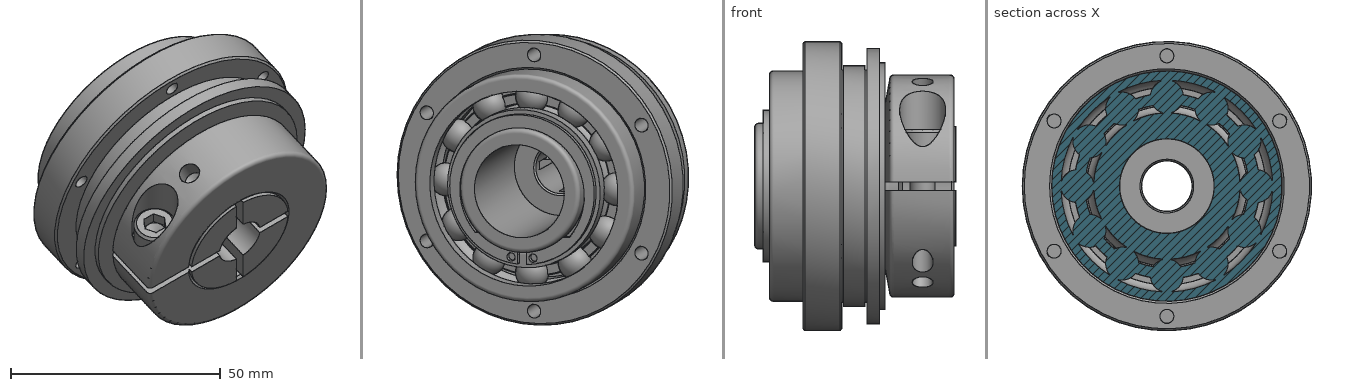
import cadquery as cq
import math


RING_START = 2.1
BEARING_START = 3.5
FLANGE_START = 11.5
FLANGE_END = 20.85
COLLAR_START = 21.2
COLLAR_END = 26.3
PLATE_START = 26.8
PLATE_END = 29.8
RIM_END = 31.1
CLAMP_START = 32.2
CLAMP_END = 47.6
HUB_END = 48.0
SLIT_START = 34.3

SLEEVE_D = 30.0
SLEEVE_BORE_D = 22.5
FLANGE_D = 69.0
NECK_D = 55.5
COLLAR_D = 57.5
PLATE_D = 65.7
RIM_D = 58.9
CLAMP_D = 53.05
HUB_D = 28.6
SHAFT_BORE_D = 12.0

ROUND = 1.05
FLANGE_CHAMFER = 0.5
SHAFT_BORE_CHAMFER = 0.4

CONE_SMALL_D = 39.05
CONE_LARGE_D = CLAMP_D - 2 * ROUND

BEARING_D = 55.0
OUTER_RACE_BORE_D = 47.1
INNER_RACE_D = 38.2
BEARING_WIDTH = 13.0
BALL_COUNT = 12
BALL_D = 8.0
GROOVE_RADIUS = 3.85
PITCH_R = (OUTER_RACE_BORE_D + INNER_RACE_D) / 4
BALL_X = BEARING_START + BEARING_WIDTH / 2
CAGE_INNER_R = 19.45
CAGE_OUTER_R = 22.15
CAGE_THICKNESS = 0.55
CAGE_CHAMFER = 0.24

SNAP_RING_D = 36.2
SNAP_OPENING_R = 15.6
SNAP_OPENING_DROP = 0.7
SNAP_OPENING_FLOOR = -11.0
SNAP_GAP = 2.3
PLIER_HOLE_D = 2.0
PLIER_HOLE_Y = 2.75
PLIER_HOLE_Z = -16.4

FLANGE_HOLE_D = 3.3
FLANGE_HOLE_COUNT = 6
FLANGE_HOLE_CIRCLE_R = 31.05

SLOT_WIDTH = 2.0
BORE_LEAD_IN = 1.0
BORE_LEAD_OUT = 0.6
SCREW_X = 40.1
SCREW_Y = -19.3
SCREW_SEAT_Z = 7.45
HEAD_D = 10.0
HEAD_HEIGHT = 6.0
HEAD_CHAMFER = 0.6
COUNTERBORE_D = 11.0
SHANK_D = 6.0
THREAD_HOLE_D = 5.0
SHANK_BOTTOM_Z = -6.9
HEX_ACROSS_FLATS = 5.0
HEX_DEPTH = 3.0

PLAIN_HOLE_D = 5.0
PLAIN_HOLE_DEPTH = 5.0
DRILL_TIP_ANGLE = 118.0
PLAIN_HOLE_ANGLES = (30.0, 160.0, 270.0)


def disc(diameter, start, end):
    """Cylinder on the X axis."""
    return cq.Workplane("YZ", origin=(start, 0, 0)).circle(diameter / 2).extrude(end - start)


def cone(start_d, end_d, start, end):
    """Truncated cone on the X axis."""
    profile = [(start, 0), (start, start_d / 2), (end, end_d / 2), (end, 0)]
    return cq.Workplane("XY").polyline(profile).close().revolve(360, (0, 0), (1, 0))


def post(diameter, bottom, top):
    """Vertical cylinder on the axis of the clamp screw."""
    base = cq.Workplane("XY", origin=(SCREW_X, SCREW_Y, bottom))
    return base.circle(diameter / 2).extrude(top - bottom)


def turned_body():
    """All stepped outer diameters up to the clamp, with the bearing and bores still solid."""
    body = disc(SLEEVE_D, 0, FLANGE_START).faces("<X").edges().fillet(ROUND)
    bearing = disc(BEARING_D, BEARING_START, FLANGE_END).faces("<X").edges().fillet(ROUND)
    flange = disc(FLANGE_D, FLANGE_START, FLANGE_END).edges().chamfer(FLANGE_CHAMFER)
    relief = cone(BEARING_D + 2 * FLANGE_CHAMFER, BEARING_D, FLANGE_START, FLANGE_START + FLANGE_CHAMFER)
    body = body.union(flange.cut(relief)).union(bearing)
    body = body.union(disc(NECK_D, FLANGE_END, PLATE_START))
    body = body.union(disc(COLLAR_D, COLLAR_START, COLLAR_END))
    body = body.union(disc(PLATE_D, PLATE_START, PLATE_END))
    body = body.union(disc(RIM_D, PLATE_END, RIM_END))
    return body


def bearing_cavity():
    """Open space between the two races, with the ball grooves."""
    end = BEARING_START + BEARING_WIDTH
    gap = disc(OUTER_RACE_BORE_D, BEARING_START, end).cut(disc(INNER_RACE_D, BEARING_START, end))
    groove = (
        cq.Workplane("XY")
        .center(BALL_X, PITCH_R)
        .circle(GROOVE_RADIUS)
        .revolve(360, (-BALL_X, -PITCH_R), (0.7 - BALL_X, -PITCH_R))
    )
    return gap.union(groove)


def cage():
    start = BALL_X - CAGE_THICKNESS / 2
    end = start + CAGE_THICKNESS
    band = disc(2 * CAGE_OUTER_R, start, end).cut(disc(2 * CAGE_INNER_R, start, end))
    return band.faces("<X").edges().chamfer(CAGE_CHAMFER)


def balls():
    ball = cq.Workplane("XY").sphere(BALL_D / 2).translate((BALL_X, 0, PITCH_R))
    row = ball
    for i in range(1, BALL_COUNT):
        row = row.union(ball.rotate((0, 0, 0), (1, 0, 0), i * 360 / BALL_COUNT))
    return row


def corner_ring(start, radius, size):
    """Ring with two straight sides at a corner and a concave rounded third side."""
    profile = (
        cq.Workplane("XY")
        .moveTo(start, radius)
        .lineTo(start, radius + size)
        .radiusArc((start + size, radius), -size)
        .close()
    )
    return profile.revolve(360, (0, 0), (1, 0))


def snap_ring():
    """Open retaining ring resting against the inner race."""
    ring = disc(SNAP_RING_D, RING_START, BEARING_START)
    opening = disc(2 * SNAP_OPENING_R, RING_START, BEARING_START)
    opening = opening.translate((0, 0, -SNAP_OPENING_DROP))
    side = SNAP_RING_D
    above_floor = cq.Workplane("XY").box(side, side, side, centered=(True, True, False))
    opening = opening.intersect(above_floor.translate((0, 0, SNAP_OPENING_FLOOR)))
    gap = cq.Workplane("XY").box(SNAP_RING_D, SNAP_GAP, SNAP_RING_D / 2)
    gap = gap.translate((0, 0, -SNAP_RING_D / 2))
    ring = ring.cut(opening).cut(gap)
    for y in (-PLIER_HOLE_Y, PLIER_HOLE_Y):
        hole = disc(PLIER_HOLE_D, RING_START, BEARING_START)
        ring = ring.cut(hole.translate((0, y, PLIER_HOLE_Z)))
    return ring


def flange_holes():
    hole = disc(FLANGE_HOLE_D, FLANGE_START, FLANGE_END).translate((0, 0, FLANGE_HOLE_CIRCLE_R))
    holes = hole
    for i in range(1, FLANGE_HOLE_COUNT):
        holes = holes.union(hole.rotate((0, 0, 0), (1, 0, 0), i * 360 / FLANGE_HOLE_COUNT))
    return holes


def slit_space():
    """Round space in the clamp bore that the hub slits open up."""
    space = disc(HUB_D, SLIT_START, HUB_END)
    space = space.union(
        cone(HUB_D + 2 * BORE_LEAD_IN, HUB_D, SLIT_START, SLIT_START + BORE_LEAD_IN)
    )
    return space.union(cone(HUB_D, HUB_D + 2 * BORE_LEAD_OUT, CLAMP_END - BORE_LEAD_OUT, CLAMP_END))


def plain_hole(angle):
    """Blind radial hole with a drilled tip, pointing at the clamp axis."""
    floor_z = -CLAMP_D / 2 + PLAIN_HOLE_DEPTH
    r = PLAIN_HOLE_D / 2
    tip = r / math.tan(math.radians(DRILL_TIP_ANGLE / 2))
    profile = [(0, -CLAMP_D), (r, -CLAMP_D), (r, floor_z), (0, floor_z + tip)]
    hole = cq.Workplane("XZ").polyline(profile).close().revolve(360, (0, 0), (0, 1))
    return hole.translate((SCREW_X, 0, 0)).rotate((0, 0, 0), (1, 0, 0), -angle)


def clamp():
    """Split clamp ring on the slit end of the hub."""
    ring = disc(CLAMP_D, CLAMP_START, CLAMP_END).edges().fillet(ROUND)
    ring = ring.union(cone(CONE_SMALL_D, CONE_LARGE_D, RIM_END, CLAMP_START))
    end_groove = cone(HUB_D, HUB_D + 2 * BORE_LEAD_OUT, CLAMP_END - BORE_LEAD_OUT, CLAMP_END)
    ring = ring.cut(end_groove).union(disc(HUB_D, CLAMP_START, HUB_END))

    length = HUB_END - RIM_END
    slot = cq.Workplane("XY").box(length, CLAMP_D, SLOT_WIDTH, centered=(False, True, True))
    slot = slot.translate((RIM_END, 0, 0))
    slits = slot.union(slot.rotate((0, 0, 0), (1, 0, 0), 90)).intersect(slit_space())
    ring_split = slot.translate((0, -CLAMP_D / 2, 0)).cut(disc(HUB_D, RIM_END, HUB_END))
    ring = ring.cut(slits).cut(ring_split)
    ring = ring.union(corner_ring(RIM_END, HUB_D / 2, ROUND))

    for angle in PLAIN_HOLE_ANGLES:
        ring = ring.cut(plain_hole(angle))
    ring = ring.cut(post(COUNTERBORE_D, SCREW_SEAT_Z, CLAMP_D))
    ring = ring.cut(post(THREAD_HOLE_D, -CLAMP_D, SHANK_BOTTOM_Z))
    return ring.union(clamp_screw())


def clamp_screw():
    """Socket head screw that crosses the clamp split."""
    head_top = SCREW_SEAT_Z + HEAD_HEIGHT
    head = post(HEAD_D, SCREW_SEAT_Z, head_top).faces(">Z").edges().chamfer(HEAD_CHAMFER)
    socket_floor = head_top - HEX_DEPTH
    corner_d = HEX_ACROSS_FLATS / math.cos(math.radians(30))
    socket = (
        cq.Workplane("XY", origin=(SCREW_X, SCREW_Y, socket_floor))
        .transformed(rotate=(0, 0, 90))
        .polygon(6, corner_d)
        .extrude(HEX_DEPTH)
    )
    tip = HEX_ACROSS_FLATS / 2 / math.tan(math.radians(DRILL_TIP_ANGLE / 2))
    tip_point = cq.Vector(SCREW_X, SCREW_Y, socket_floor - tip)
    socket_tip = cq.Workplane(cq.Solid.makeCone(0, HEX_ACROSS_FLATS / 2, tip, tip_point))
    shank = post(SHANK_D, SHANK_BOTTOM_Z, SCREW_SEAT_Z)
    return head.cut(socket).cut(socket_tip).union(shank)


def shaft_bores():
    """Wide bore from the sleeve end, then the narrow shaft bore with a chamfered mouth."""
    wide = disc(SLEEVE_BORE_D, 0, RIM_END)
    mouth = cone(
        SHAFT_BORE_D + 2 * SHAFT_BORE_CHAMFER, SHAFT_BORE_D, RIM_END, RIM_END + SHAFT_BORE_CHAMFER
    )
    return wide.union(mouth).union(disc(SHAFT_BORE_D, RIM_END, HUB_END))


inner_race_rounding = corner_ring(BEARING_START, SLEEVE_D / 2, ROUND)
result = turned_body().cut(bearing_cavity()).cut(inner_race_rounding).cut(flange_holes())
result = result.union(cage()).union(balls()).union(snap_ring())
result = result.union(clamp()).cut(shaft_bores())